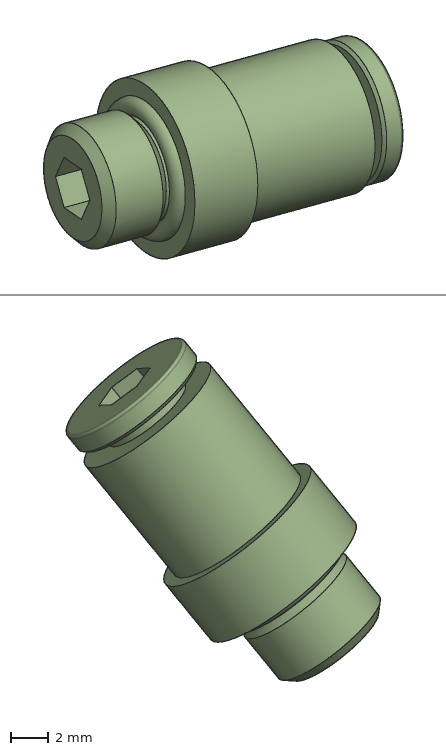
import cadquery as cq
import math

total_length = 18.48
thread_end = 4.08
collar_start = 4.6
collar_end = 8.6
body_end = 16.47
ring_start = 17.19

thread_radius = 3.5
seal_centre_radius = 3.47
seal_section_radius = 0.55
collar_radius = 4.999
body_radius = 4.3
neck_radius = 2.6
ring_radius = 4.05

thread_chamfer = 0.55
ring_chamfer = 0.18
ring_round = 0.17
hex_across_flats = 3.0
hex_across_corners = hex_across_flats / math.cos(math.radians(30))


def cylinder(radius, start, end):
    """Solid cylinder on the Y axis between two stations."""
    return cq.Workplane("XZ", origin=(0, start, 0)).circle(radius).extrude(start - end)


thread = cylinder(thread_radius, 0, thread_end).faces("<Y or >Y").chamfer(thread_chamfer)
core = cylinder(thread_radius - thread_chamfer, 0, collar_start)

seal = cq.Workplane(
    cq.Solid.makeTorus(
        seal_centre_radius, seal_section_radius, cq.Vector(0, collar_start, 0), cq.Vector(0, 1, 0)
    )
)

collar = cylinder(collar_radius, collar_start, collar_end)
body = cylinder(body_radius, collar_end, body_end)
neck = cylinder(neck_radius, body_end, ring_start)

release_ring = (
    cylinder(ring_radius, ring_start, total_length)
    .faces("<Y").chamfer(ring_chamfer)
    .faces(">Y").edges().fillet(ring_round)
)

hex_socket = cq.Workplane("XZ").polygon(6, hex_across_corners).extrude(-total_length)

result = core
for section in (thread, seal, collar, body, neck, release_ring):
    result = result.union(section)
result = result.cut(hex_socket)